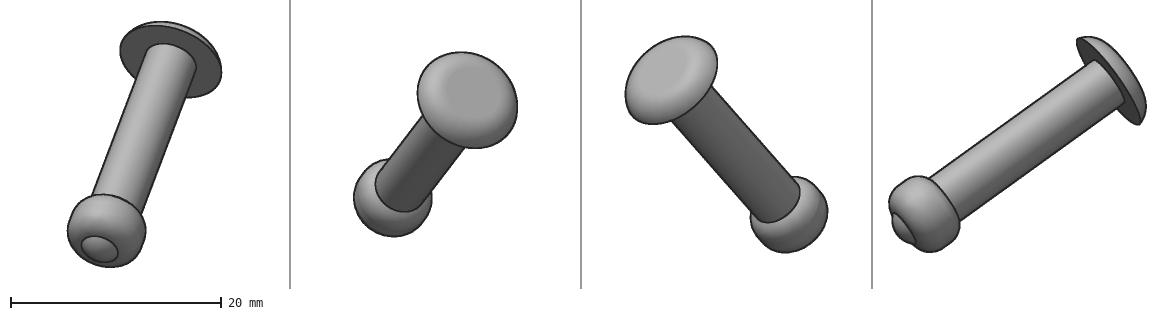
import cadquery as cq
import math

total_length = 27.1
head_diameter = 10.05
head_thickness = 1.82
head_flat_radius = 2.7
shank_radius = 2.52
bulb_radius = 3.65
bulb_round = 1.85
bulb_band_length = 1.08
tip_height = 0.87
head_radius = head_diameter / 2

y_head_back = total_length
y_head_face = total_length - head_thickness
y_front_round_center = tip_height + bulb_round
y_back_round_center = y_front_round_center + bulb_band_length


def point_on_circle(center, radius, angle):
    """Point at an angle measured from the radial direction toward +Y."""
    return (center[0] + radius * math.cos(angle), center[1] + radius * math.sin(angle))


bulb_round_offset = bulb_radius - bulb_round
front_center = (bulb_round_offset, y_front_round_center)
tip_base = (bulb_round_offset, tip_height)
front_mid = point_on_circle(front_center, bulb_round, -math.pi / 4)

back_center = (bulb_round_offset, y_back_round_center)
shank_angle = math.acos((shank_radius - bulb_round_offset) / bulb_round)
shank_start = point_on_circle(back_center, bulb_round, shank_angle)
back_mid = point_on_circle(back_center, bulb_round, shank_angle / 2)

tip_sphere_radius = (bulb_round_offset**2 + tip_height**2) / (2 * tip_height)
tip_half_angle = math.asin(bulb_round_offset / tip_sphere_radius) / 2
tip_mid = point_on_circle((0, tip_sphere_radius), tip_sphere_radius, tip_half_angle - math.pi / 2)

head_round_width = head_radius - head_flat_radius
head_round = (head_round_width**2 + head_thickness**2) / (2 * head_thickness)
head_center = (head_flat_radius, y_head_back - head_round)
rim_angle = math.asin((y_head_face - head_center[1]) / head_round)
head_mid = point_on_circle(head_center, head_round, (rim_angle + math.pi / 2) / 2)

profile = (
    cq.Workplane("XY")
    .moveTo(0, 0)
    .threePointArc(tip_mid, tip_base)
    .threePointArc(front_mid, (bulb_radius, y_front_round_center))
    .lineTo(bulb_radius, y_back_round_center)
    .threePointArc(back_mid, shank_start)
    .lineTo(shank_radius, y_head_face)
    .lineTo(head_radius, y_head_face)
    .threePointArc(head_mid, (head_flat_radius, y_head_back))
    .lineTo(0, y_head_back)
    .close()
)
result = profile.revolve(360, (0, 0), (0, 1))